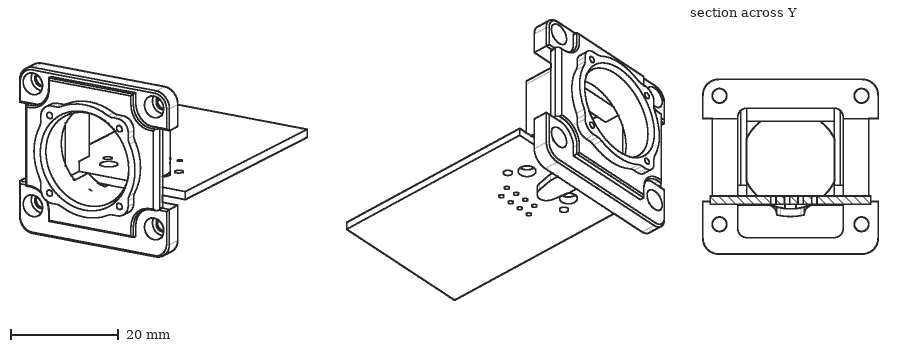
import cadquery as cq
import math


rim_depth = 2.0
flange_front = 3.2
raised_plate_rear = 3.95
flange_rear = 6.6
counterbore_floor = 6.05
pad_rear = 8.0
roof_rear = 10.95
board_front = 11.5
wall_rear = 15.05
overall_length = 55.0

flange_width = 32.6
flange_top = 15.0
flange_bottom = -17.5
flange_corner_radius = 2.95
edge_chamfer = 0.4
waist_height = 15.4
screw_x = 13.2
screw_z = 11.95
screw_hole_diameter = 2.65
counterbore_diameter = 4.2

raised_width = 29.15
raised_height = 28.05
screw_clearance_radius = 3.95
raised_chamfer = 0.35
raised_side_chamfer_width = 0.8
raised_side_chamfer_depth = 0.95

rim_radius = 11.0
lobe_half_width = 9.5
lobe_fillet = 2.35
pilot_hole_offset = 7.6
pilot_hole_diameter = 1.2
pilot_hole_depth = 2.2

bore_radius = 9.1
bore_chamfer_width = 0.55
bore_chamfer_depth = 1.1

hood_width = 19.6
hood_top = 9.6
hood_corner_radius = 1.65
hood_rear_chamfer = 0.55
hood_side_bottom = -4.7
hood_base_bottom = -8.35
pad_bottom = -14.4
passage_width = 16.35
passage_top = 7.2

board_width = 29.85
board_top = -6.65
board_thickness = 1.6
pin_hole_diameter = 0.95
pin_row_pitch = 2.55
pin_columns = 4
pin_rear_row_y = 26.8
pin_row_spacing = 2.55
tab_hole_x = 7.75
tab_hole_y = 21.0
tab_hole_diameter = 1.65
post_hole_x = 5.7
post_hole_diameter = 3.3

peg_y = 18.05
peg_radius = 1.05
peg_tip_chamfer = 0.5
arm_outer_radius = 10.5
arm_half_width = 2.6
arm_tip_radius = 2.0
arm_taper_start = 15.05
arm_root_fillet = 1.7
arm_corner_fillet = 0.35


def block(x_min, x_max, y_min, y_max, z_min, z_max):
    """Rectangular block between the given limits."""
    size = (x_max - x_min, y_max - y_min, z_max - z_min)
    return cq.Workplane("XY").box(*size, centered=False).translate((x_min, y_min, z_min))


def facing(y):
    """Sketch plane at depth y with X to the right and Z up; a negative extrusion goes towards +Y."""
    return cq.Workplane("XZ", origin=(0, y, 0))


def cylinder_y(radius, y_min, y_max):
    """Cylinder on the bore axis."""
    return facing(y_min).circle(radius).extrude(y_min - y_max)


def screw_positions():
    return [(sx * screw_x, sz * screw_z) for sx in (-1, 1) for sz in (-1, 1)]


def make_flange():
    """Rounded mounting flange, narrowed to the hood width at its waist, chamfered around its front face."""
    plate = block(-flange_width / 2, flange_width / 2, flange_front, flange_rear, flange_bottom, flange_top)
    plate = plate.edges("|Y").fillet(flange_corner_radius)
    for side in (-1, 1):
        notch_center = side * (hood_width + flange_width) / 2
        notch = facing(flange_front).center(notch_center, 0).rect(flange_width, waist_height)
        plate = plate.cut(notch.extrude(flange_front - flange_rear))
    return plate.faces("<Y").edges().chamfer(edge_chamfer)


def make_raised_plate():
    """Cross-shaped plate whose corners are cut away around the screws, with bevelled sides."""
    depth = raised_plate_rear - rim_depth
    plate = facing(rim_depth).rect(flange_width, raised_height).extrude(-depth)
    reach = flange_width
    clearance = screw_clearance_radius
    for sx in (-1, 1):
        for sz in (-1, 1):
            inner_x = sx * (screw_x - clearance)
            inner_z = sz * (screw_z - clearance)
            diagonal = clearance * math.sqrt(0.5)
            corner = (
                facing(rim_depth)
                .moveTo(inner_x, sz * reach)
                .lineTo(inner_x, sz * screw_z)
                .threePointArc(
                    (sx * (screw_x - diagonal), sz * (screw_z - diagonal)), (sx * screw_x, inner_z)
                )
                .lineTo(sx * reach, inner_z)
                .lineTo(sx * reach, sz * reach)
                .close()
                .extrude(-depth)
            )
            plate = plate.cut(corner)
    plate = plate.faces("<Y").edges().chamfer(raised_chamfer)

    half = raised_width / 2
    bevelled_slab = (
        cq.Workplane("XY", origin=(0, 0, -raised_height / 2))
        .moveTo(-half + raised_side_chamfer_width, rim_depth)
        .lineTo(half - raised_side_chamfer_width, rim_depth)
        .lineTo(half, rim_depth + raised_side_chamfer_depth)
        .lineTo(half, raised_plate_rear)
        .lineTo(-half, raised_plate_rear)
        .lineTo(-half, rim_depth + raised_side_chamfer_depth)
        .close()
        .extrude(raised_height)
    )
    return plate.intersect(bevelled_slab)


def make_rim():
    """Round rim blended into four rounded lobes that carry the pilot holes."""
    hollow_x = lobe_half_width + lobe_fillet
    hollow_z = math.sqrt((rim_radius + lobe_fillet) ** 2 - hollow_x**2)
    to_circle = rim_radius / (rim_radius + lobe_fillet)

    rim = cylinder_y(rim_radius, 0, rim_depth)
    lobe = block(0, lobe_half_width, 0, rim_depth, 0, lobe_half_width)
    lobe = lobe.edges("|Y and >X and >Z").fillet(lobe_fillet)
    web = (
        facing(0)
        .polyline(
            [
                (0, 0),
                (hollow_x * to_circle, hollow_z * to_circle),
                (hollow_x, hollow_z),
                (lobe_half_width, hollow_z),
            ]
        )
        .close()
        .extrude(-rim_depth)
    )
    hollow = facing(0).center(hollow_x, hollow_z).circle(lobe_fillet).extrude(-rim_depth)
    side_blend = web.cut(hollow)
    top_blend = side_blend.rotate((0, 0, 0), (1, 0, 1), 180).translate((0, rim_depth, 0))
    quarter = lobe.union(side_blend).union(top_blend)
    for turn in range(4):
        rim = rim.union(quarter.rotate((0, 0, 0), (0, 1, 0), 90 * turn))
    return rim


def make_hood():
    """Box behind the flange: side walls, roof, stepped base and the pad below it."""
    half = hood_width / 2
    hood = block(-half, half, flange_rear, wall_rear, pad_bottom, hood_top)
    hood = hood.edges("|Z and >Y").chamfer(hood_rear_chamfer)
    hood = hood.edges("|Y").fillet(hood_corner_radius)
    hood = hood.cut(block(-half, half, board_front, wall_rear, pad_bottom, hood_side_bottom))
    hood = hood.cut(block(-half, half, pad_rear, wall_rear, pad_bottom, hood_base_bottom))
    open_half = passage_width / 2
    return hood.cut(block(-open_half, open_half, roof_rear, wall_rear, board_top, hood_top))


def make_arm():
    """Tapered arm under the board: a strip of a tube around the bore axis, with a round tip."""
    along = arm_taper_start - peg_y
    distance = math.hypot(arm_half_width, along)
    normal_angle = math.atan2(along, arm_half_width) + math.acos(arm_tip_radius / distance)
    touch_x = arm_tip_radius * math.cos(normal_angle)
    touch_y = peg_y + arm_tip_radius * math.sin(normal_angle)
    arm_end = peg_y + arm_tip_radius
    outline = (
        cq.Workplane("XY", origin=(0, 0, -arm_outer_radius))
        .moveTo(-arm_half_width, flange_rear)
        .lineTo(arm_half_width, flange_rear)
        .lineTo(arm_half_width, arm_taper_start)
        .lineTo(touch_x, touch_y)
        .threePointArc((0, arm_end), (-touch_x, touch_y))
        .lineTo(-arm_half_width, arm_taper_start)
        .close()
        .extrude(arm_outer_radius + hood_base_bottom)
    )
    arm = outline.union(make_arm_root())
    arm = arm.intersect(cylinder_y(arm_outer_radius, flange_rear, arm_end))
    return arm.cut(cylinder_y(bore_radius, flange_rear, arm_end))


def make_arm_root():
    """Wider root that joins the arm to the hood base with hollow fillets on both sides."""
    outer = arm_half_width + arm_root_fillet
    fillet_bottom = hood_base_bottom - arm_root_fillet
    flare_half = arm_half_width + arm_corner_fillet
    flare_rear = board_front + arm_corner_fillet
    root = block(-outer, outer, flange_rear, board_front, fillet_bottom, hood_base_bottom)
    flare = block(-flare_half, flare_half, flange_rear, flare_rear, fillet_bottom, hood_base_bottom)
    root = root.union(flare)
    for side in (-1, 1):
        side_hollow = facing(flange_rear).center(side * outer, fillet_bottom).circle(arm_root_fillet)
        corner_hollow = cq.Workplane("XY", origin=(side * flare_half, flare_rear, fillet_bottom))
        root = root.cut(side_hollow.extrude(flange_rear - flare_rear))
        root = root.cut(corner_hollow.circle(arm_corner_fillet).extrude(arm_root_fillet))
    return root


def make_peg():
    """Locating peg on the arm, ending in a cone flush with the top of the board."""
    base = -(bore_radius + arm_outer_radius) / 2
    peg = cq.Workplane("XY", origin=(0, peg_y, base)).circle(peg_radius).extrude(board_top - base)
    return peg.faces(">Z").edges().chamfer(peg_tip_chamfer)


def make_passage():
    """Chamfered bore through the flange, continuing as a rectangular passage with a round trough."""
    bore = cylinder_y(bore_radius, 0, flange_rear)
    mouth = facing(0).circle(bore_radius + bore_chamfer_width).workplane(offset=-bore_chamfer_depth)
    mouth = mouth.circle(bore_radius).loft()
    half = passage_width / 2
    rectangle = block(-half, half, flange_rear, wall_rear, board_top, passage_top)
    trough = cylinder_y(bore_radius, flange_rear, board_front)
    trough = trough.intersect(block(-half, half, flange_rear, board_front, -bore_radius, board_top))
    return bore.union(mouth).union(rectangle).union(trough)


def make_housing():
    housing = make_flange()
    for feature in (make_raised_plate(), make_rim(), make_hood(), make_arm()):
        housing = housing.union(feature)
    housing = housing.cut(make_passage())
    housing = housing.union(make_peg())

    screw_holes = facing(flange_front).pushPoints(screw_positions())
    housing = housing.cut(screw_holes.circle(screw_hole_diameter / 2).extrude(flange_front - flange_rear))
    housing = housing.cut(
        screw_holes.circle(counterbore_diameter / 2).extrude(flange_front - counterbore_floor)
    )
    pilot_square = facing(0).rect(2 * pilot_hole_offset, 2 * pilot_hole_offset, forConstruction=True)
    return housing.cut(pilot_square.vertices().circle(pilot_hole_diameter / 2).extrude(-pilot_hole_depth))


def make_board():
    """Circuit board with two staggered pin rows, tab holes, post holes and the peg hole."""
    stagger = pin_row_pitch / 4
    first_pin = -pin_row_pitch * (pin_columns - 1) / 2
    columns = [first_pin + pin_row_pitch * i for i in range(pin_columns)]
    pins = [(x + stagger, pin_rear_row_y) for x in columns]
    pins += [(x - stagger, pin_rear_row_y - pin_row_spacing) for x in columns]
    hole_groups = [
        (pin_hole_diameter, pins),
        (tab_hole_diameter, [(-tab_hole_x, tab_hole_y), (tab_hole_x, tab_hole_y)]),
        (post_hole_diameter, [(-post_hole_x, peg_y), (post_hole_x, peg_y)]),
        (2 * peg_radius, [(0, peg_y)]),
    ]
    bottom = board_top - board_thickness
    board = block(-board_width / 2, board_width / 2, board_front, overall_length, bottom, board_top)
    for diameter, points in hole_groups:
        holes = cq.Workplane("XY", origin=(0, 0, bottom)).pushPoints(points).circle(diameter / 2)
        board = board.cut(holes.extrude(board_thickness))
    return board


housing = make_housing()
board = make_board()

result = cq.Compound.makeCompound([*housing.solids().vals(), *board.solids().vals()])